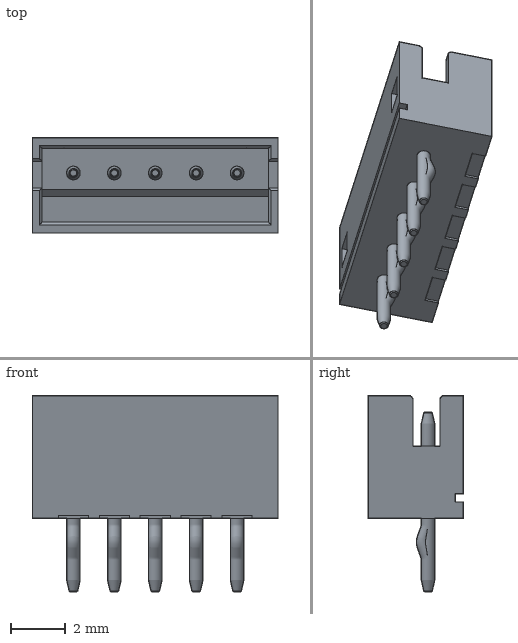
import cadquery as cq
import math


LENGTH = 9.0
WIDTH = 3.5
HEIGHT = 4.5
PIN_TO_BACK = 1.3
BACK_Y = PIN_TO_BACK
FRONT_Y = BACK_Y - WIDTH

LONG_WALL = 0.4
END_WALL = 0.35
STEP_Z = 1.25
STEP_EDGE_Y = -0.61
RAMP_SIZE = 0.25
FLOOR_Z = STEP_Z - RAMP_SIZE
RIM_CHAMFER = 0.1

SLOT_BACK_Y = BACK_Y - 0.87
SLOT_WIDTH = 0.98
SLOT_FLOOR_Z = 2.65

WINDOW_WIDTH = 0.8
WINDOW_BOTTOM_Z = 1.75
WINDOW_TOP_Z = 2.85

GROOVE_DEPTH = 0.3
GROOVE_BOTTOM_Z = 0.6
GROOVE_HEIGHT = 0.3

NOTCH_WIDTH = 1.1
NOTCH_HEIGHT = 0.1
NOTCH_DEPTH = 0.5

PIN_COUNT = 5
PIN_PITCH = 1.5
PIN_RADIUS = 0.25
PIN_TOP_Z = 3.9
PIN_BOTTOM_Z = -2.7
TAPER_LENGTH = 0.43
TIP_RADIUS = 0.16
TIP_CHAMFER = 0.04

KINK_CLEARANCE = 0.001
KINK_RADIUS = PIN_RADIUS - KINK_CLEARANCE
KINK_TOP_Z = -0.21
KINK_HALF_HEIGHT = 0.665
KINK_ANGLE = math.radians(20)
KINK_END_BEND = 0.55
KINK_CREST_BEND = 0.37

PIN_XS = [(i - (PIN_COUNT - 1) / 2) * PIN_PITCH for i in range(PIN_COUNT)]


def box(x_range, y_range, z_range):
    """Box spanning the given (low, high) ranges."""
    size = [high - low for low, high in (x_range, y_range, z_range)]
    corner = (x_range[0], y_range[0], z_range[0])
    return cq.Workplane("XY").box(*size, centered=False).translate(corner)


def make_cavity():
    """Stepped cavity, extruded along X between the end walls."""
    inner_length = LENGTH - 2 * END_WALL
    inner_back_y = BACK_Y - LONG_WALL
    inner_front_y = FRONT_Y + LONG_WALL
    profile = [
        (inner_back_y, HEIGHT),
        (inner_back_y, STEP_Z),
        (STEP_EDGE_Y, STEP_Z),
        (STEP_EDGE_Y - RAMP_SIZE, FLOOR_Z),
        (inner_front_y, FLOOR_Z),
        (inner_front_y, HEIGHT),
    ]
    cavity = cq.Workplane("YZ").polyline(profile).close().extrude(inner_length / 2, both=True)

    middle_y = (inner_front_y + inner_back_y) / 2
    inner_width = inner_back_y - inner_front_y
    mouth = (
        cq.Workplane("XY", origin=(0, middle_y, HEIGHT - RIM_CHAMFER))
        .rect(inner_length, inner_width)
        .workplane(offset=RIM_CHAMFER)
        .rect(inner_length + 2 * RIM_CHAMFER, inner_width + 2 * RIM_CHAMFER)
        .loft(ruled=True)
    )
    return cavity.union(mouth)


def make_end_slots():
    """Slot with a bevelled mouth, passing through both end walls."""
    front_y = SLOT_BACK_Y - SLOT_WIDTH
    bevel_z = HEIGHT - RIM_CHAMFER
    profile = [
        (front_y, SLOT_FLOOR_Z),
        (SLOT_BACK_Y, SLOT_FLOOR_Z),
        (SLOT_BACK_Y, bevel_z),
        (SLOT_BACK_Y + RIM_CHAMFER, HEIGHT),
        (front_y - RIM_CHAMFER, HEIGHT),
        (front_y, bevel_z),
    ]
    return cq.Workplane("YZ").polyline(profile).close().extrude(LENGTH / 2, both=True)


def make_window(side):
    """Window in the back wall at the left (-1) or right (+1) end."""
    outer_x = side * (LENGTH / 2 - END_WALL)
    inner_x = outer_x - side * WINDOW_WIDTH
    x_range = sorted((outer_x, inner_x))
    return box(x_range, (BACK_Y - LONG_WALL, BACK_Y), (WINDOW_BOTTOM_Z, WINDOW_TOP_Z))


def make_groove():
    """Groove along the full length of the back wall."""
    return box(
        (-LENGTH / 2, LENGTH / 2),
        (BACK_Y - GROOVE_DEPTH, BACK_Y),
        (GROOVE_BOTTOM_Z, GROOVE_BOTTOM_Z + GROOVE_HEIGHT),
    )


def make_notch(pin_x):
    """Shallow notch in the bottom front edge."""
    x_range = (pin_x - NOTCH_WIDTH / 2, pin_x + NOTCH_WIDTH / 2)
    return box(x_range, (FRONT_Y, FRONT_Y + NOTCH_DEPTH), (0, NOTCH_HEIGHT))


def make_housing():
    housing = box((-LENGTH / 2, LENGTH / 2), (FRONT_Y, BACK_Y), (0, HEIGHT))
    housing = housing.cut(make_cavity()).cut(make_end_slots()).cut(make_groove())
    for side in (-1, 1):
        housing = housing.cut(make_window(side))
    for pin_x in PIN_XS:
        housing = housing.cut(make_notch(pin_x))
    return housing


def make_kink():
    """Bulge on the front of a pin, symmetric above and below its crest."""
    crest_z = KINK_TOP_Z - KINK_HALF_HEIGHT
    sine = math.sin(KINK_ANGLE)
    cosine = math.cos(KINK_ANGLE)
    half_sine = math.sin(KINK_ANGLE / 2)
    half_cosine = math.cos(KINK_ANGLE / 2)
    slant = (KINK_HALF_HEIGHT - (KINK_END_BEND + KINK_CREST_BEND) * sine) / cosine

    bend_end = (-KINK_END_BEND * (1 - cosine), KINK_TOP_Z - KINK_END_BEND * sine)
    bend_middle = (-KINK_END_BEND * (1 - half_cosine), KINK_TOP_Z - KINK_END_BEND * half_sine)
    slant_end = (bend_end[0] - slant * sine, bend_end[1] - slant * cosine)
    crest = (slant_end[0] - KINK_CREST_BEND * (1 - cosine), crest_z)

    def mirrored(point):
        return (point[0], 2 * crest_z - point[1])

    path = (
        cq.Workplane("YZ")
        .moveTo(0, KINK_TOP_Z)
        .threePointArc(bend_middle, bend_end)
        .lineTo(*slant_end)
        .threePointArc(crest, mirrored(slant_end))
        .lineTo(*mirrored(bend_end))
        .threePointArc(mirrored(bend_middle), mirrored((0, KINK_TOP_Z)))
    )
    section = cq.Workplane("XY", origin=(0, 0, KINK_TOP_Z)).circle(KINK_RADIUS)
    return section.sweep(path)


def make_pin():
    """Round pin with tapered, bevelled tips and a retention kink below the housing."""
    half_profile = [
        (0, PIN_BOTTOM_Z),
        (TIP_RADIUS - TIP_CHAMFER, PIN_BOTTOM_Z),
        (TIP_RADIUS, PIN_BOTTOM_Z + TIP_CHAMFER),
        (PIN_RADIUS, PIN_BOTTOM_Z + TAPER_LENGTH),
        (PIN_RADIUS, PIN_TOP_Z - TAPER_LENGTH),
        (TIP_RADIUS, PIN_TOP_Z - TIP_CHAMFER),
        (TIP_RADIUS - TIP_CHAMFER, PIN_TOP_Z),
        (0, PIN_TOP_Z),
    ]
    shaft = cq.Workplane("XZ").polyline(half_profile).close().revolve(360, (0, 0, 0), (0, 1, 0))
    return shaft.union(make_kink())


result = make_housing()
pin = make_pin()
for pin_x in PIN_XS:
    result = result.union(pin.translate((pin_x, 0, 0)))